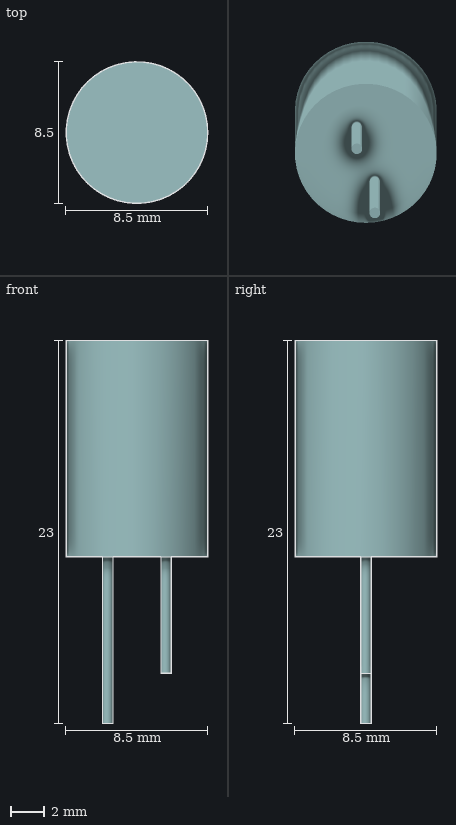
import cadquery as cq

total_height = 23.0
can_diameter = 8.5
can_height = 13.0
lead_diameter = 0.65
lead_pitch = 3.5
short_lead_length = 7.0

long_lead_length = total_height - can_height


def make_can():
    """Plain upright cylinder standing on Z = 0."""
    return cq.Workplane("XY").circle(can_diameter / 2).extrude(can_height)


def make_lead(x, length):
    """Round wire hanging from the underside of the can."""
    return cq.Workplane("XY").center(x, 0).circle(lead_diameter / 2).extrude(-length)


can = make_can()

lead_layout = [
    (-lead_pitch / 2, long_lead_length),
    (lead_pitch / 2, short_lead_length),
]
leads = [make_lead(x, length) for x, length in lead_layout]

result = cq.Compound.makeCompound([can.val(), *[lead.val() for lead in leads]])